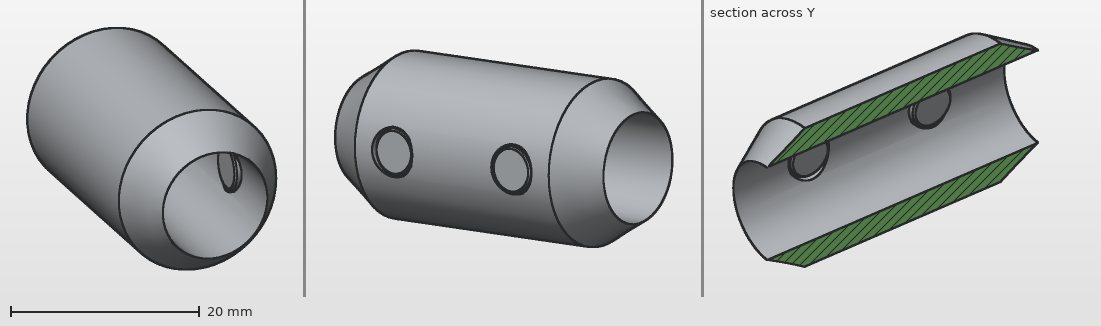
import cadquery as cq

length = 36.0
outer_radius = 9.0
bore_radius = 5.98
taper_length = 5.0

screw_radius = 2.52
hole_radius = 2.7
screw_length = 3.42
screw_chamfer = 0.2
screw_offset = 8.0
raised_screw_top = 9.07
sunk_screw_top = 8.7
screws = [(-screw_offset, raised_screw_top), (screw_offset, sunk_screw_top)]


def radial_cylinder(x, top, radius, depth):
    """Cylinder along Y, from Y = top inward by depth."""
    axis_plane = cq.Plane(origin=(x, top, 0), xDir=(1, 0, 0), normal=(0, -1, 0))
    return cq.Workplane(axis_plane).circle(radius).extrude(depth)


def make_sleeve():
    half = length / 2
    shoulder = half - taper_length
    profile = [
        (-half, bore_radius),
        (-shoulder, outer_radius),
        (shoulder, outer_radius),
        (half, bore_radius),
    ]
    sleeve = cq.Workplane("XY").polyline(profile).close().revolve(360, (0, 0, 0), (1, 0, 0))
    for x, _ in screws:
        sleeve = sleeve.cut(radial_cylinder(x, 2 * outer_radius, hole_radius, 2 * outer_radius))
    return sleeve


def make_screw(x, top):
    return radial_cylinder(x, top, screw_radius, screw_length).faces("|Y").chamfer(screw_chamfer)


sleeve = make_sleeve()
set_screws = [make_screw(x, top) for x, top in screws]

result = cq.Compound.makeCompound([sleeve.val(), *[screw.val() for screw in set_screws]])